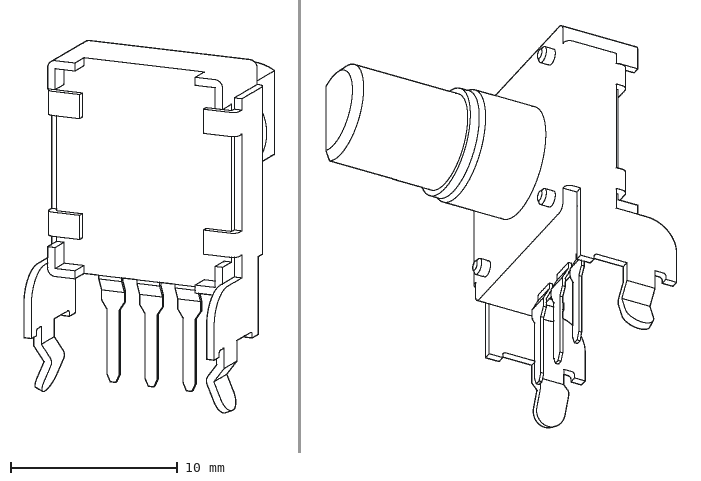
import cadquery as cq
import math


BODY_WIDTH = 11.5
BODY_HEIGHT = 13.4
BODY_BACK = -3.72
BODY_CORNER_RADIUS = 0.5
RIM_BACK = -5.05
RIM_THICKNESS = 0.5
RIM_LENGTH = 1.8

BUSHING_DIAMETER = 7.0
BUSHING_NECK_DIAMETER = 6.7
BUSHING_TAPER_START = 4.05
BUSHING_TAPER_END = 4.4
BUSHING_END = 5.0
SHAFT_DIAMETER = 6.0
SHAFT_END = 12.5
SHAFT_CHAMFER = 0.5
FLAT_LENGTH = 5.0
FLAT_OFFSET = 1.5

BOSS_DIAMETER = 1.0
BOSS_HEIGHT = 0.8
BOSS_CHAMFER = 0.2
BOSS_X = 4.25
BOSS_Z = 5.1

SHEET = 0.5
PLATE_TOP = 5.2
PLATE_BACK = -3.35
PLATE_BEND_RADIUS = 0.4
FOOT_FRONT = -0.93
FOOT_BACK = -7.4
FOOT_TOP = -5.92
FOOT_BOTTOM = -10.03
FOOT_CURVE_RADIUS = 2.0
FRONT_TOE_LENGTH = 0.92
BACK_TOE_LENGTH = 0.72
TOE_HEIGHT = 0.4
TOE_FILLET = 0.2

LEG_WIDTH = 1.9
LEG_Y = -5.0
LEG_KNEE_Z = -10.9
LEG_ELBOW_Z = -11.8
LEG_ELBOW_SHIFT = 0.67
LEG_END_LENGTH = 2.08
LEG_END_ANGLE = 23.5
TIP_ROUNDNESS = 0.999

TAB_HEIGHT = 1.5
TAB_Z = 3.75
TAB_INNER_X = 4.06
TAB_THICKNESS = 0.4

TERMINAL_COUNT = 3
TERMINAL_PITCH = 2.5
TERMINAL_THICKNESS = 0.2
TERMINAL_BACK = -2.73
TERMINAL_OFFSET = 0.4
TERMINAL_JOG_TOP = -7.1
TERMINAL_JOG_BOTTOM = -7.88
TERMINAL_ROOT_WIDTH = 1.5
TERMINAL_SHOULDER_Z = -8.5
TERMINAL_WIDTH = 0.8
TERMINAL_NECK_Z = -9.03
TERMINAL_TAPER_Z = -13.05
TERMINAL_TIP_WIDTH = 0.35
TERMINAL_TIP_Z = -13.53

PLATE_INNER_X = BODY_WIDTH / 2
PLATE_OUTER_X = PLATE_INNER_X + SHEET
OVERLAP = 0.3


def block(x_range, y_range, z_range):
    """Box spanning the given coordinate ranges."""
    lows = [min(r) for r in (x_range, y_range, z_range)]
    sizes = [abs(r[1] - r[0]) for r in (x_range, y_range, z_range)]
    return cq.Workplane("XY").box(*sizes, centered=False).translate(tuple(lows))


def xz_plane(y=0):
    """XZ sketch plane at the given y; positive extrusions run towards -Y."""
    return cq.Workplane(cq.Plane(origin=(0, y, 0), xDir=(1, 0, 0), normal=(0, -1, 0)))


def housing():
    """Rounded block with four L-shaped corner walls standing behind it."""
    body = xz_plane().rect(BODY_WIDTH, BODY_HEIGHT).extrude(-RIM_BACK)
    body = body.edges("|Y").fillet(BODY_CORNER_RADIUS)
    rim_depth = (RIM_BACK, BODY_BACK)
    gap_x = BODY_WIDTH / 2 - RIM_LENGTH
    gap_z = BODY_HEIGHT / 2 - RIM_LENGTH
    inner_x = BODY_WIDTH / 2 - RIM_THICKNESS
    inner_z = BODY_HEIGHT / 2 - RIM_THICKNESS
    for x, z in ((inner_x, inner_z), (gap_x, BODY_HEIGHT), (BODY_WIDTH, gap_z)):
        body = body.cut(block((-x, x), rim_depth, (-z, z)))
    return body


def bushing_and_shaft():
    """Stepped bushing carrying a D-shaft with the flat on its +X side."""
    bushing_radius = BUSHING_DIAMETER / 2
    neck_radius = BUSHING_NECK_DIAMETER / 2
    bushing = (
        cq.Workplane("XY")
        .moveTo(0, -OVERLAP)
        .lineTo(bushing_radius, -OVERLAP)
        .lineTo(bushing_radius, BUSHING_TAPER_START)
        .lineTo(neck_radius, BUSHING_TAPER_END)
        .lineTo(neck_radius, BUSHING_END)
        .lineTo(0, BUSHING_END)
        .close()
        .revolve(360, (0, 0, 0), (0, 1, 0))
    )
    radius = SHAFT_DIAMETER / 2
    shaft = xz_plane().circle(radius).extrude(-SHAFT_END)
    flat_start = SHAFT_END - FLAT_LENGTH
    shaft = shaft.cut(block((FLAT_OFFSET, 2 * radius), (flat_start, SHAFT_END), (-radius, radius)))
    shaft = shaft.faces(">Y").chamfer(SHAFT_CHAMFER)
    return bushing.union(shaft)


def bosses():
    """Four chamfered pegs on the mounting face."""
    spots = [(sx * BOSS_X, sz * BOSS_Z) for sx in (-1, 1) for sz in (-1, 1)]
    pegs = xz_plane(-OVERLAP).pushPoints(spots).circle(BOSS_DIAMETER / 2)
    return pegs.extrude(-BOSS_HEIGHT - OVERLAP).faces(">Y").chamfer(BOSS_CHAMFER)


def side_plate():
    """Flat +X bracket plate with its curved rear foot and two toes."""
    upper = block((PLATE_INNER_X, PLATE_OUTER_X), (PLATE_BACK, 0), (-PLATE_TOP, PLATE_TOP))
    upper = upper.edges(">X and >Y").fillet(PLATE_BEND_RADIUS)
    notch_top = FOOT_BOTTOM + TOE_HEIGHT
    notch_front = FOOT_FRONT - FRONT_TOE_LENGTH
    notch_back = FOOT_BACK + BACK_TOE_LENGTH
    arc_y = FOOT_BACK + FOOT_CURVE_RADIUS
    arc_z = FOOT_TOP - FOOT_CURVE_RADIUS
    arc_reach = FOOT_CURVE_RADIUS * math.sqrt(0.5)
    fillet_z = notch_top - TOE_FILLET
    foot = (
        cq.Workplane("YZ", origin=(PLATE_INNER_X, 0, 0))
        .moveTo(FOOT_FRONT, 0)
        .lineTo(FOOT_FRONT, FOOT_BOTTOM)
        .lineTo(notch_front, FOOT_BOTTOM)
        .lineTo(notch_front, fillet_z)
        .radiusArc((notch_front - TOE_FILLET, notch_top), -TOE_FILLET)
        .lineTo(notch_back + TOE_FILLET, notch_top)
        .radiusArc((notch_back, fillet_z), -TOE_FILLET)
        .lineTo(notch_back, FOOT_BOTTOM)
        .lineTo(FOOT_BACK, FOOT_BOTTOM)
        .lineTo(FOOT_BACK, arc_z)
        .threePointArc((arc_y - arc_reach, arc_z + arc_reach), (arc_y, FOOT_TOP))
        .lineTo(PLATE_BACK, FOOT_TOP)
        .lineTo(PLATE_BACK, 0)
        .close()
        .extrude(SHEET)
    )
    return upper.union(foot)


def snap_leg():
    """Bent +X leg: leans inwards, turns outwards and ends in a half-round tip."""
    root_z = FOOT_BOTTOM + TOE_HEIGHT + OVERLAP
    elbow_x = PLATE_OUTER_X - LEG_ELBOW_SHIFT
    lean = math.atan2(LEG_ELBOW_SHIFT, LEG_KNEE_Z - LEG_ELBOW_Z)
    end_angle = math.radians(LEG_END_ANGLE)
    knee_drop = SHEET * math.tan(lean / 2)
    inner_knee_z = LEG_KNEE_Z + knee_drop
    end_direction = (math.sin(end_angle), -math.cos(end_angle))
    lean_offset = (-SHEET * math.cos(lean), SHEET * math.sin(lean))
    end_offset = (-SHEET * math.cos(end_angle), -SHEET * math.sin(end_angle))
    tip_x = elbow_x + LEG_END_LENGTH * end_direction[0]
    tip_z = LEG_ELBOW_Z + LEG_END_LENGTH * end_direction[1]
    strip = (
        cq.Workplane("XZ", origin=(0, LEG_Y + LEG_WIDTH / 2, 0))
        .moveTo(PLATE_OUTER_X, root_z)
        .lineTo(PLATE_OUTER_X, LEG_KNEE_Z)
        .lineTo(elbow_x, LEG_ELBOW_Z)
        .lineTo(tip_x, tip_z)
        .lineTo(tip_x + end_offset[0], tip_z + end_offset[1])
        .lineTo(elbow_x + end_offset[0], LEG_ELBOW_Z + end_offset[1])
        .threePointArc(
            (elbow_x - SHEET, LEG_ELBOW_Z),
            (elbow_x + lean_offset[0], LEG_ELBOW_Z + lean_offset[1]),
        )
        .lineTo(PLATE_INNER_X, inner_knee_z)
        .lineTo(PLATE_INNER_X, root_z)
        .close()
        .extrude(LEG_WIDTH)
    )
    tip_radius = TIP_ROUNDNESS * LEG_WIDTH / 2
    tip_corners = cq.selectors.BoxSelector(
        (tip_x - SHEET, LEG_Y - LEG_WIDTH, tip_z - SHEET),
        (tip_x + SHEET, LEG_Y + LEG_WIDTH, tip_z + SHEET),
    )
    across_sheet = cq.selectors.ParallelDirSelector(cq.Vector(end_offset[0], 0, end_offset[1]))
    return strip.edges(tip_corners).edges(across_sheet).fillet(tip_radius)


def tab(z):
    """+X tab wrapping from the plate onto the back of the housing."""
    height = (z - TAB_HEIGHT / 2, z + TAB_HEIGHT / 2)
    tab_back = BODY_BACK - TAB_THICKNESS
    web = block((PLATE_INNER_X, PLATE_OUTER_X), (tab_back, PLATE_BACK), height)
    flap = block((TAB_INNER_X, PLATE_OUTER_X), (tab_back, BODY_BACK), height)
    return web.union(flap).edges("|Z and >X and <Y").fillet(PLATE_BEND_RADIUS)


def bracket():
    """Complete +X side bracket."""
    part = side_plate().union(snap_leg())
    for z in (-TAB_Z, TAB_Z):
        part = part.union(tab(z))
    return part


def terminal(x):
    """Jogged flat terminal, shouldered and tapered to its tip."""
    root_z = -BODY_HEIGHT / 2 + OVERLAP
    back = TERMINAL_BACK
    front = back + TERMINAL_THICKNESS
    jogged_strip = (
        cq.Workplane("YZ")
        .moveTo(back - TERMINAL_OFFSET, root_z)
        .lineTo(back - TERMINAL_OFFSET, TERMINAL_JOG_TOP)
        .lineTo(back, TERMINAL_JOG_BOTTOM)
        .lineTo(back, TERMINAL_TIP_Z)
        .lineTo(front, TERMINAL_TIP_Z)
        .lineTo(front, TERMINAL_JOG_BOTTOM)
        .lineTo(front - TERMINAL_OFFSET, TERMINAL_JOG_TOP)
        .lineTo(front - TERMINAL_OFFSET, root_z)
        .close()
        .extrude(TERMINAL_ROOT_WIDTH / 2, both=True)
    )
    right_side = [
        (TERMINAL_ROOT_WIDTH / 2, root_z),
        (TERMINAL_ROOT_WIDTH / 2, TERMINAL_SHOULDER_Z),
        (TERMINAL_WIDTH / 2, TERMINAL_NECK_Z),
        (TERMINAL_WIDTH / 2, TERMINAL_TAPER_Z),
        (TERMINAL_TIP_WIDTH / 2, TERMINAL_TIP_Z),
    ]
    left_side = [(-px, pz) for px, pz in reversed(right_side)]
    outline = xz_plane().polyline(right_side + left_side).close().extrude(-RIM_BACK)
    return jogged_strip.intersect(outline).translate((x, 0, 0))


result = housing().union(bushing_and_shaft()).union(bosses())
result = result.union(bracket()).union(bracket().mirror("YZ"))
for index in range(TERMINAL_COUNT):
    result = result.union(terminal((index - (TERMINAL_COUNT - 1) / 2) * TERMINAL_PITCH))